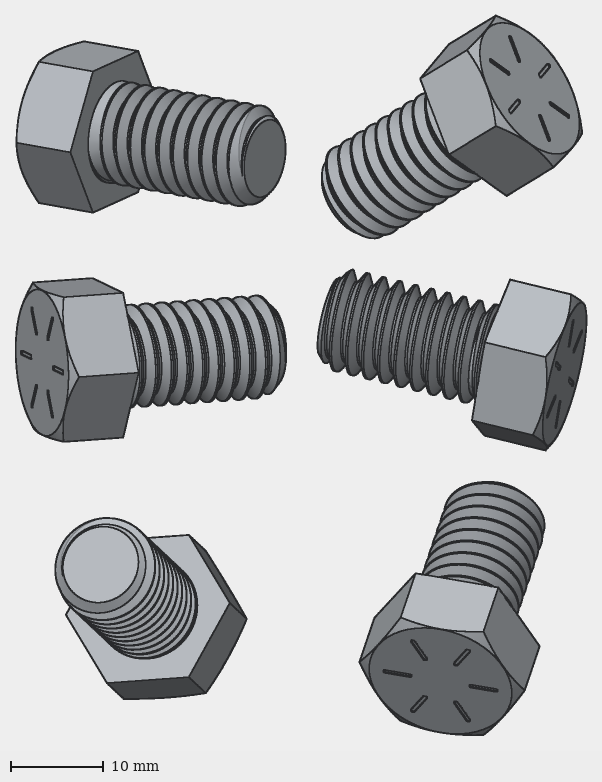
import cadquery as cq
import math

total_length = 26.6
across_flats = 15.87
head_height = 7.6
head_face_diameter = 15.82
head_chamfer_angle = 30.0

crest_run = 16.33
pitch = crest_run / 9
crest_radius = 5.55
root_radius = 4.4
crest_width = pitch / 8
flank_angle = 30.0
groove_overlap = 0.08
crest_above_axis_x = 1.2

collar_angle = 30.0
collar_overlap = 0.13
tip_radius = 4.23
tip_chamfer_angle = 45.0

mark_count = 6
mark_inner_radius = 3.2
mark_outer_radius = 6.33
mark_width = 0.45
mark_depth = 0.15

shank_length = total_length - head_height
across_corners = across_flats / math.cos(math.radians(30))
ORIGIN = (0, 0, 0)
X_AXIS = (1, 0, 0)


def tangent(angle):
    return math.tan(math.radians(angle))


def revolve_about_x(points):
    """Solid of revolution from (x, radius) points."""
    return cq.Workplane("XY").polyline(points).close().revolve(360, ORIGIN, X_AXIS)


def make_head():
    hexagon = (
        cq.Workplane("YZ", origin=(-head_height, 0, 0))
        .polygon(6, across_corners)
        .extrude(head_height)
    )
    face_radius = head_face_diameter / 2
    chamfer_outer_radius = across_corners
    chamfer_depth = (chamfer_outer_radius - face_radius) * tangent(head_chamfer_angle)
    chamfer_cone = revolve_about_x([
        (-head_height, 0),
        (-head_height, face_radius),
        (-head_height + chamfer_depth, chamfer_outer_radius),
        (0, chamfer_outer_radius),
        (0, 0),
    ])
    return hexagon.intersect(chamfer_cone)


def make_collar():
    """Cone under the head where the thread runs out, ending below the thread root."""
    end_radius = root_radius - collar_overlap
    collar_length = (crest_radius - end_radius) / tangent(collar_angle)
    return revolve_about_x([
        (0, 0),
        (0, crest_radius),
        (collar_length, end_radius),
        (collar_length, 0),
    ])


def make_groove():
    """Helical groove that runs past both ends of the shank."""
    start_x = crest_above_axis_x - 2 * pitch
    turns = math.ceil((shank_length - start_x) / pitch) + 1
    outer_radius = crest_radius + groove_overlap
    half_crest_gap = (pitch - crest_width) / 2
    half_root = half_crest_gap - (crest_radius - root_radius) * tangent(flank_angle)
    half_outer = half_crest_gap + groove_overlap * tangent(flank_angle)
    helix = cq.Wire.makeHelix(pitch, turns * pitch, root_radius)
    groove = (
        cq.Workplane("XZ")
        .polyline([
            (root_radius, -half_root),
            (outer_radius, -half_outer),
            (outer_radius, half_outer),
            (root_radius, half_root),
        ])
        .close()
        .sweep(cq.Workplane(obj=helix), isFrenet=True)
    )
    return groove.rotate(ORIGIN, (0, 1, 0), 90).translate((start_x, 0, 0))


def make_threaded_rod():
    """Threaded rod, longer than the shank at both ends."""
    extra_length = 2 * pitch
    rod = (
        cq.Workplane("YZ", origin=(-extra_length, 0, 0))
        .circle(crest_radius)
        .extrude(shank_length + 2 * extra_length)
    )
    return rod.cut(make_groove())


def make_shank_limit():
    """Space the shank may fill: ends inside the head and at the tip chamfer."""
    limit_radius = 1.5 * crest_radius
    chamfer_length = (limit_radius - tip_radius) / tangent(tip_chamfer_angle)
    inner_x = -pitch / 2
    return revolve_about_x([
        (inner_x, 0),
        (inner_x, limit_radius),
        (shank_length - chamfer_length, limit_radius),
        (shank_length, tip_radius),
        (shank_length, 0),
    ])


def make_grade_marks():
    mark_length = mark_outer_radius - mark_inner_radius
    mid_radius = (mark_outer_radius + mark_inner_radius) / 2
    return (
        cq.Workplane("YZ", origin=(-head_height, 0, 0))
        .polarArray(mid_radius, 0, 360, mark_count)
        .slot2D(mark_length, mark_width)
        .extrude(mark_depth)
    )


head = make_head().cut(make_grade_marks())
shank = make_threaded_rod().intersect(make_shank_limit())
result = head.union(make_collar()).union(shank, clean=False)